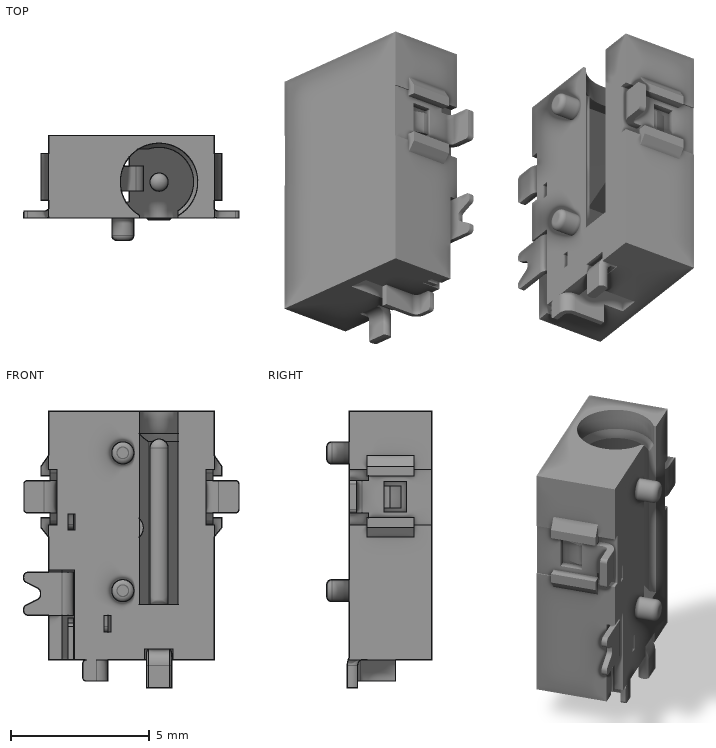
import cadquery as cq
import math


body_width = 6.0
body_depth = 2.99
body_height = 9.0
side_x = body_width / 2

bore_x = 1.0
bore_y = 1.31
bore_radius = 1.4
bore_inner_radius = 1.25
bore_floor_z = 2.0
bore_cone_top_z = body_height - 0.8
bore_cone_height = 0.3
bore_slot_left_x = 0.29
bore_slot_width = 1.4

pin_y = 1.3
pin_radius = 0.33
pin_tip_z = 7.99

post_x = -0.31
post_heights = (2.5, 7.49)
post_radius = 0.4
post_length = 0.81
post_round = 0.19

sheet = 0.2
sheet_bend = 0.41

leg_left_x = -1.76
leg_right_x = -0.85
leg_drop = 0.77
leg_back_y = 1.68
leg_corner_round = 0.13
spring_tip_x = 0.43
spring_z = 4.77
spring_front_y = 0.98
spring_width = 0.9
spring_round = 0.46
spring_arm_angle = math.radians(24.4)

chamber_right_x = -0.08
chamber_front_y = 0.59
chamber_back_y = 2.5

relief_left_x = -0.2
relief_front_y = 0.1

fork_tip_x = -3.9
fork_notch_x = -3.29
fork_right_x = -2.09
fork_bottom_z = 1.61
fork_top_z = 3.17
fork_prong_width = 0.32
fork_notch_width = 0.3
fork_round = 0.17
fork_recess_right_x = -2.05
fork_recess_top_z = 3.25
fork_recess_depth = 0.31
fork_groove_depth = 0.8
fork_tail_top_z = 1.33
fork_tail_slope = 0.13

fork_slot_x = (-2.3, -2.04)
fork_slot_z = (4.7, 5.29)
spring_slot_x = (-0.99, -0.74)
spring_slot_z = (1.0, 1.61)
slot_depth = 0.59
slot_contact_y = 0.3
slot_contact_round = 0.2

tab_tip_x = 3.89
tab_bottom_z = 5.32
tab_top_z = 6.49
tab_bend = 0.46
tab_corner_round = 0.13

plate_face_x = 2.95
plate_inner_x = 2.69
tab_thickness = plate_face_x - plate_inner_x
plate_bottom_z = 4.88
plate_top_z = 6.89
plate_front_y = 0.7
plate_corner_round = 0.13

ledge_front_y = 0.64
ledge_back_y = 2.34
ledge_tip_x = 3.27
upper_ledge_z = (6.66, 7.0, 7.4)
lower_ledge_z = (5.15, 4.78, 4.44)

window_front_y = 1.27
window_back_y = 2.08
window_bottom_z = 5.35
window_top_z = 6.46
ramp_front_y = 1.47
ramp_back_y = 1.88
ramp_bottom_z = 5.49
ramp_top_z = 6.29
ramp_height = 0.15

tail_left_x = 0.54
tail_right_x = 1.46
tail_drop = 1.01
tail_front_y = -0.07
tail_thickness = 0.38
tail_bend = 0.6
tail_top_z = 0.4
tail_side_bulge = 0.08
tail_anchor_y = 1.0
tail_notch_left_x = 0.48
tail_notch_right_x = 1.5
tail_notch_depth = 0.65


def block(x_range, y_range, z_range):
    """Axis-aligned box between the given limits."""
    (x0, x1), (y0, y1), (z0, z1) = x_range, y_range, z_range
    return cq.Workplane("XY").box(x1 - x0, y1 - y0, z1 - z0, centered=False).translate((x0, y0, z0))


def bent_strip(tip_x, bend_x, back_y, thickness, bend, z_range):
    """Sheet lying on the front face from tip_x, turned through 90 degrees to run back along x = bend_x."""
    toward_tip = math.copysign(1, tip_x - bend_x)
    center_x = bend_x + toward_tip * bend
    inner_bend = bend - thickness
    diagonal = math.sqrt(0.5)
    outline = (
        cq.Workplane("XY", origin=(0, 0, z_range[0]))
        .moveTo(tip_x, 0)
        .lineTo(center_x, 0)
        .threePointArc((center_x - toward_tip * bend * diagonal, bend * (1 - diagonal)), (bend_x, bend))
        .lineTo(bend_x, back_y)
        .lineTo(bend_x + toward_tip * thickness, back_y)
        .lineTo(bend_x + toward_tip * thickness, bend)
        .threePointArc(
            (center_x - toward_tip * inner_bend * diagonal, bend - inner_bend * diagonal),
            (center_x, thickness),
        )
        .lineTo(tip_x, thickness)
        .close()
    )
    return outline.extrude(z_range[1] - z_range[0])


def vertical_cylinder(radius, bottom_z, top_z):
    """Cylinder on the bore axis."""
    return cq.Workplane("XY", origin=(bore_x, bore_y, bottom_z)).circle(radius).extrude(top_z - bottom_z)


def bore_cutter():
    """Wide mouth, conical step, narrower bore and front slot."""
    cone_bottom_z = bore_cone_top_z - bore_cone_height
    narrow = vertical_cylinder(bore_inner_radius, bore_floor_z, body_height)
    mouth = vertical_cylinder(bore_radius, bore_cone_top_z, body_height)
    cone = (
        cq.Workplane("XY", origin=(bore_x, bore_y, cone_bottom_z))
        .circle(bore_inner_radius)
        .workplane(offset=bore_cone_height)
        .circle(bore_radius)
        .loft()
    )
    slot_right_x = bore_slot_left_x + bore_slot_width
    slot = block((bore_slot_left_x, slot_right_x), (0, bore_y), (bore_floor_z, body_height))
    return narrow.union(mouth).union(cone).union(slot)


def chamber_cutter():
    """Space for the spring contact: joins the bore above its floor and opens at the underside."""
    y_range = (chamber_front_y, chamber_back_y)
    shaft = block((leg_right_x, chamber_right_x), y_range, (0, bore_cone_top_z))
    opening = block((leg_right_x, bore_x), y_range, (bore_floor_z, bore_cone_top_z))
    relief = block(
        (relief_left_x, bore_x), (relief_front_y, chamber_front_y), (bore_floor_z, bore_cone_top_z)
    )
    return shaft.union(opening).union(relief)


def center_pin():
    pin_height = pin_tip_z - bore_floor_z
    pin = cq.Workplane("XY", origin=(bore_x, pin_y, bore_floor_z)).circle(pin_radius)
    pin = pin.extrude(pin_height - pin_radius)
    dome = cq.Workplane("XY", origin=(bore_x, pin_y, pin_tip_z - pin_radius)).sphere(pin_radius)
    return pin.union(dome)


def locating_post(z):
    post = cq.Workplane("XZ", origin=(post_x, 0, z)).circle(post_radius).extrude(post_length)
    return post.faces("<Y").edges().fillet(post_round)


def spring_bump():
    """Rounded V that juts from the chamber wall into the bore."""
    center_x = spring_tip_x - spring_round
    tangent_x = center_x + spring_round * math.sin(spring_arm_angle)
    tangent_rise = spring_round * math.cos(spring_arm_angle)
    root_rise = tangent_rise + (tangent_x - leg_right_x) * math.tan(spring_arm_angle)
    outline = (
        cq.Workplane("XZ", origin=(0, spring_front_y + spring_width, 0))
        .moveTo(leg_right_x, spring_z - root_rise)
        .lineTo(tangent_x, spring_z - tangent_rise)
        .threePointArc((spring_tip_x, spring_z), (tangent_x, spring_z + tangent_rise))
        .lineTo(leg_right_x, spring_z + root_rise)
        .close()
    )
    return outline.extrude(spring_width)


def spring_leg():
    """L-section leg below the housing, rooted in the chamber wall."""
    foot = bent_strip(leg_left_x, leg_right_x, leg_back_y, sheet, sheet_bend, (-leg_drop, 0))
    foot = foot.faces("<X").edges("|Y").fillet(leg_corner_round)
    root = block((leg_right_x - sheet, leg_right_x), (chamber_front_y, leg_back_y), (-leg_drop, bore_floor_z))
    return foot.union(root)


def fork_recess_cutter():
    groove_left_x = fork_right_x - sheet_bend
    z_range = (0, fork_recess_top_z)
    shelf = block((-side_x, fork_recess_right_x), (0, fork_recess_depth), z_range)
    groove = block((groove_left_x, fork_recess_right_x), (0, fork_groove_depth), z_range)
    return shelf.union(groove)


def fork_notch_cutter():
    """Tapered notch between the two prongs, with rounded root and mouth."""
    middle_z = (fork_bottom_z + fork_top_z) / 2
    mouth_half = (fork_top_z - fork_bottom_z) / 2 - fork_prong_width
    root_half = fork_notch_width / 2
    outline = (
        cq.Workplane("XZ")
        .moveTo(fork_tip_x, middle_z - mouth_half)
        .lineTo(fork_notch_x, middle_z - root_half)
        .lineTo(fork_notch_x, middle_z + root_half)
        .lineTo(fork_tip_x, middle_z + mouth_half)
        .close()
    )
    return outline.extrude(-sheet).faces(">X").edges("|Y").fillet(fork_round)


def forked_contact():
    """Forked solder tab with a bent-in plate and a narrow tail along the groove."""
    anchor_y = fork_groove_depth + sheet
    fork = bent_strip(fork_tip_x, fork_right_x, anchor_y, sheet, sheet_bend, (fork_bottom_z, fork_top_z))
    fork = fork.cut(fork_notch_cutter())
    fork = fork.faces("<X").edges("|Y").fillet(fork_round)
    tail = (
        cq.Workplane("YZ", origin=(fork_right_x - sheet, 0, 0))
        .moveTo(fork_recess_depth, 0)
        .lineTo(fork_recess_depth, fork_tail_top_z - fork_tail_slope)
        .lineTo(fork_recess_depth + fork_tail_slope, fork_tail_top_z)
        .lineTo(anchor_y, fork_bottom_z)
        .lineTo(anchor_y, 0)
        .close()
        .extrude(sheet)
    )
    return fork.union(tail)


def window_slot(x_range, z_range):
    return block(x_range, (0, slot_depth), z_range)


def window_contact(x_range, z_range):
    """Contact edge inside a front window, its lower front corner rounded."""
    edge = block(x_range, (slot_contact_y, slot_depth), z_range)
    return edge.edges("|X and <Y and <Z").fillet(slot_contact_round)


def side_recess_cutter():
    """Shallow side recess, deepened near the front around the tab."""
    z_range = (plate_bottom_z, plate_top_z)
    shallow = block((plate_face_x, side_x), (0, body_depth), z_range)
    deep = block((plate_inner_x, side_x), (0, plate_front_y + plate_corner_round), z_range)
    return shallow.union(deep)


def side_window_cutter():
    return block(
        (plate_inner_x, plate_face_x), (window_front_y, window_back_y), (window_bottom_z, window_top_z)
    )


def side_catch():
    """Catch in the side window, flat at the front and ramping down to the window floor toward the back."""
    return (
        cq.Workplane("XY", origin=(0, 0, ramp_bottom_z))
        .moveTo(plate_inner_x, window_front_y)
        .lineTo(plate_inner_x + ramp_height, window_front_y)
        .lineTo(plate_inner_x + ramp_height, ramp_front_y)
        .lineTo(plate_inner_x, ramp_back_y)
        .close()
        .extrude(ramp_top_z - ramp_bottom_z)
    )


def side_plate():
    """Plate with rounded front corners that carries the solder tab."""
    plate = block(
        (plate_inner_x, plate_face_x), (plate_front_y, window_front_y), (plate_bottom_z, plate_top_z)
    )
    plate = plate.faces("<Y").edges("|X").fillet(plate_corner_round)
    tab_z = (tab_bottom_z, tab_top_z)
    tab = bent_strip(tab_tip_x, plate_inner_x, window_front_y, tab_thickness, tab_bend, tab_z)
    tab = tab.faces(">X").edges("|Y").fillet(tab_corner_round)
    return plate.union(tab)


def ledge(inner_z, tip_z, root_z):
    """Ledge with a square inner face and a sloped outer face."""
    return (
        cq.Workplane("XZ", origin=(0, ledge_back_y, 0))
        .moveTo(plate_face_x, inner_z)
        .lineTo(ledge_tip_x, inner_z)
        .lineTo(ledge_tip_x, tip_z)
        .lineTo(side_x, root_z)
        .lineTo(plate_face_x, root_z)
        .close()
        .extrude(ledge_back_y - ledge_front_y)
    )


def bent_tail():
    """Tail with bulged sides that leaves the housing just above its underside and bends down in front."""
    middle_x = (tail_left_x + tail_right_x) / 2
    half_width = (tail_right_x - tail_left_x) / 2
    half_flat = half_width - tail_side_bulge
    middle_y = tail_front_y + tail_thickness / 2
    middle_bend = tail_bend - tail_thickness / 2
    bend_z = tail_top_z - tail_bend
    section = (
        cq.Workplane("XY", origin=(middle_x, middle_y, -tail_drop))
        .moveTo(-half_flat, -tail_thickness / 2)
        .lineTo(half_flat, -tail_thickness / 2)
        .threePointArc((half_width, 0), (half_flat, tail_thickness / 2))
        .lineTo(-half_flat, tail_thickness / 2)
        .threePointArc((-half_width, 0), (-half_flat, -tail_thickness / 2))
        .close()
    )
    path = (
        cq.Workplane("YZ", origin=(middle_x, 0, 0))
        .moveTo(middle_y, -tail_drop)
        .lineTo(middle_y, bend_z)
        .tangentArcPoint((middle_bend, middle_bend))
        .lineTo(tail_anchor_y, bend_z + middle_bend)
    )
    return section.sweep(path)


result = block((-side_x, side_x), (0, body_depth), (0, body_height))
result = result.cut(bore_cutter()).cut(chamber_cutter())
result = result.union(center_pin())
for post_z in post_heights:
    result = result.union(locating_post(post_z))

result = result.union(spring_bump()).union(spring_leg())
result = result.cut(fork_recess_cutter()).union(forked_contact())

result = result.cut(window_slot(fork_slot_x, fork_slot_z))
result = result.union(window_contact((fork_slot_x[0], fork_right_x), fork_slot_z))
result = result.cut(window_slot(spring_slot_x, spring_slot_z))
result = result.union(window_contact((spring_slot_x[0], leg_right_x), spring_slot_z))

side_cut = side_recess_cutter().union(side_window_cutter())
side_metal = side_plate().union(side_catch()).union(ledge(*upper_ledge_z)).union(ledge(*lower_ledge_z))
result = result.cut(side_cut).cut(side_cut.mirror("YZ"))
result = result.union(side_metal).union(side_metal.mirror("YZ"))

tail_notch = block((tail_notch_left_x, tail_notch_right_x), (0, tail_notch_depth), (0, tail_top_z))
result = result.cut(tail_notch).union(bent_tail())